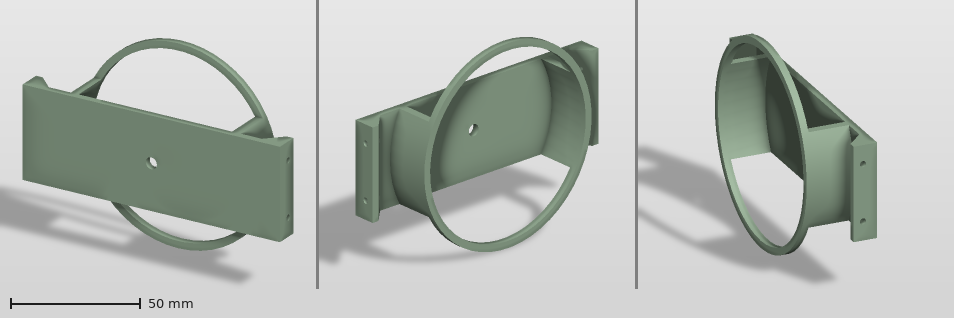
import cadquery as cq

plate_length = 116.0
plate_height = 40.0
plate_thickness = 3.0
total_depth = 23.0
ring_outer_diameter = 86.0
ring_width = 3.0
ring_thickness = 3.0
tab_depth = 10.0
tab_tip_width = 3.0
center_hole_diameter = 5.0
side_hole_diameter = 2.5
side_hole_spacing = 24.0
side_hole_depth_position = 6.0

half_length = plate_length / 2
tab_rise = tab_depth - plate_thickness
tab_base_width = tab_tip_width + tab_rise


def annulus(start_y, end_y):
    """Ring about the Y axis, spanning start_y to end_y."""
    outer_radius = ring_outer_diameter / 2
    return (
        cq.Workplane("XZ", origin=(0, start_y, 0))
        .circle(outer_radius)
        .circle(outer_radius - ring_width)
        .extrude(start_y - end_y)
    )


def plate_with_tabs():
    """Flat plate with a sloped tab rising at each end."""
    slope_foot = half_length - tab_base_width
    slope_top = half_length - tab_tip_width
    return (
        cq.Workplane("XY")
        .polyline([
            (-half_length, 0),
            (half_length, 0),
            (half_length, tab_depth),
            (slope_top, tab_depth),
            (slope_foot, plate_thickness),
            (-slope_foot, plate_thickness),
            (-slope_top, tab_depth),
            (-half_length, tab_depth),
        ])
        .close()
        .extrude(plate_height / 2, both=True)
    )


def curved_walls():
    """Two arc walls joining plate and ring, cut level with the plate edges."""
    plate_band = cq.Workplane("XY").box(
        plate_length, total_depth, plate_height, centered=(True, False, True)
    )
    return annulus(0, total_depth).intersect(plate_band)


def center_hole():
    """Hole through the middle of the plate."""
    return cq.Workplane("XZ").circle(center_hole_diameter / 2).extrude(-plate_thickness)


def side_holes(end_x, drill_direction):
    """Pair of holes running lengthwise through one end tab."""
    return (
        cq.Workplane("YZ", origin=(end_x, 0, 0))
        .pushPoints([
            (side_hole_depth_position, -side_hole_spacing / 2),
            (side_hole_depth_position, side_hole_spacing / 2),
        ])
        .circle(side_hole_diameter / 2)
        .extrude(drill_direction * tab_base_width)
    )


result = (
    plate_with_tabs()
    .union(curved_walls())
    .union(annulus(total_depth - ring_thickness, total_depth))
    .cut(center_hole())
)
for side in (-1, 1):
    result = result.cut(side_holes(side * half_length, -side))